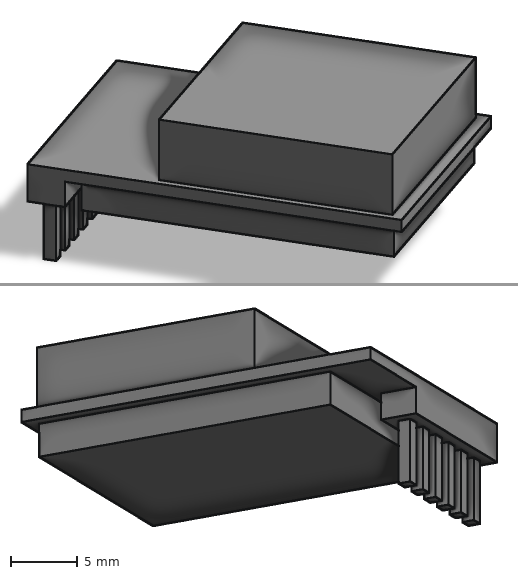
import cadquery as cq

board_length = 30.0
board_width = 20.0
board_thickness = 1.0
edge_margin = 1.0

top_block_side = 18.7
top_block_height = 5.0

lower_block_start = 4.0
lower_block_height = 2.65
lower_block_side_margin = 1.0

header_length = 3.0
header_width = 12.8
header_height = 2.1

pin_count = 6
pin_pitch = 2.0
pin_side = 1.0
pin_start = 1.0
pin_length = 5.0


def box_at(x, y, z, length, width, height):
    """Box whose lowest corner is at (x, y, z)."""
    return cq.Workplane("XY").box(length, width, height, centered=False).translate((x, y, z))


board_bottom = -board_thickness
block_end = board_length - edge_margin

board = box_at(0, 0, board_bottom, board_length, board_width, board_thickness)

top_block = box_at(
    block_end - top_block_side,
    (board_width - top_block_side) / 2,
    0,
    top_block_side,
    top_block_side,
    top_block_height,
)

lower_block = box_at(
    lower_block_start,
    lower_block_side_margin,
    board_bottom - lower_block_height,
    block_end - lower_block_start,
    board_width - 2 * lower_block_side_margin,
    lower_block_height,
)

header_bottom = board_bottom - header_height
header = box_at(0, 0, header_bottom, header_length, header_width, header_height)

result = board.union(top_block).union(lower_block).union(header)

pin_row_width = (pin_count - 1) * pin_pitch + pin_side
first_pin_y = (header_width - pin_row_width) / 2
for index in range(pin_count):
    pin_y = first_pin_y + index * pin_pitch
    pin = box_at(pin_start, pin_y, header_bottom - pin_length, pin_side, pin_side, pin_length)
    result = result.union(pin)